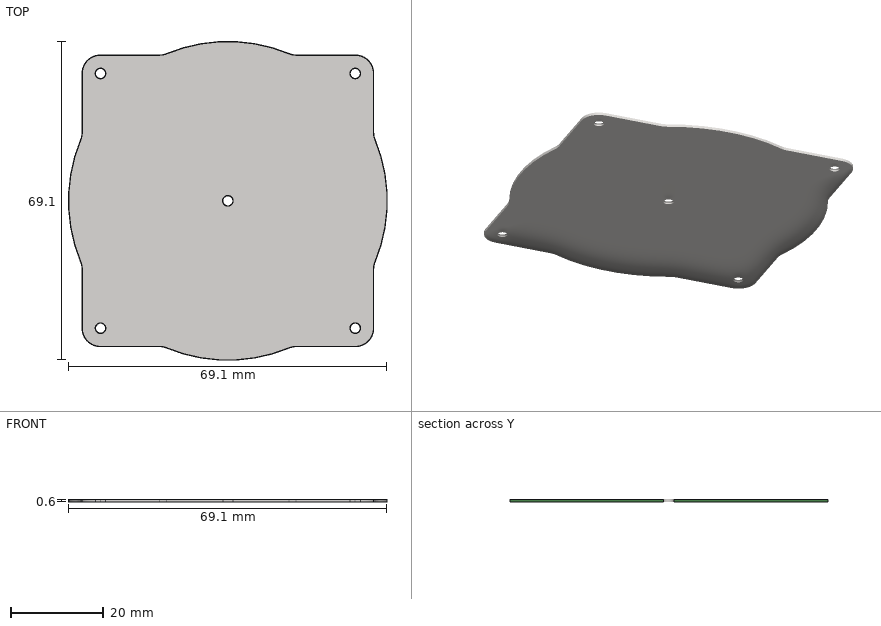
import cadquery as cq

THICKNESS = 0.6
DISC_DIAMETER = 69.1
HOLE_SPACING = 55.2
HOLE_EDGE_DISTANCE = 4.0
HOLE_DIAMETER = 2.2
CORNER_RADIUS = 4.0
BLEND_RADIUS = 4.0

SQUARE_SIDE = HOLE_SPACING + 2 * HOLE_EDGE_DISTANCE


def make_square():
    """Square plate with rounded corners and its underside on Z = 0."""
    plate = cq.Workplane("XY").rect(SQUARE_SIDE, SQUARE_SIDE).extrude(THICKNESS)
    return plate.edges("|Z").fillet(CORNER_RADIUS)


def make_disc():
    """Disc that bulges past the middle of each side of the square."""
    return cq.Workplane("XY").circle(DISC_DIAMETER / 2).extrude(THICKNESS)


def blend_bulges(plate):
    """Round the eight inside corners where the disc leaves the square."""
    bulge_half_width = ((DISC_DIAMETER / 2) ** 2 - (SQUARE_SIDE / 2) ** 2) ** 0.5
    junctions = cq.Workplane("XY")
    for along in (-bulge_half_width, bulge_half_width):
        for side in (-SQUARE_SIDE / 2, SQUARE_SIDE / 2):
            for point in ((along, side), (side, along)):
                nearest = cq.selectors.NearestToPointSelector((*point, THICKNESS / 2))
                junctions = junctions.add(plate.edges("|Z").edges(nearest))
    return plate.newObject(junctions.vals()).fillet(BLEND_RADIUS)


def cut_holes(plate):
    """Through holes: one at the centre and one near each corner."""
    half_spacing = HOLE_SPACING / 2
    centres = [(0, 0)]
    for x in (-half_spacing, half_spacing):
        for y in (-half_spacing, half_spacing):
            centres.append((x, y))
    holes = cq.Workplane("XY").pushPoints(centres).circle(HOLE_DIAMETER / 2).extrude(THICKNESS)
    return plate.cut(holes)


outline = make_square().union(make_disc())
result = cut_holes(blend_bulges(outline))